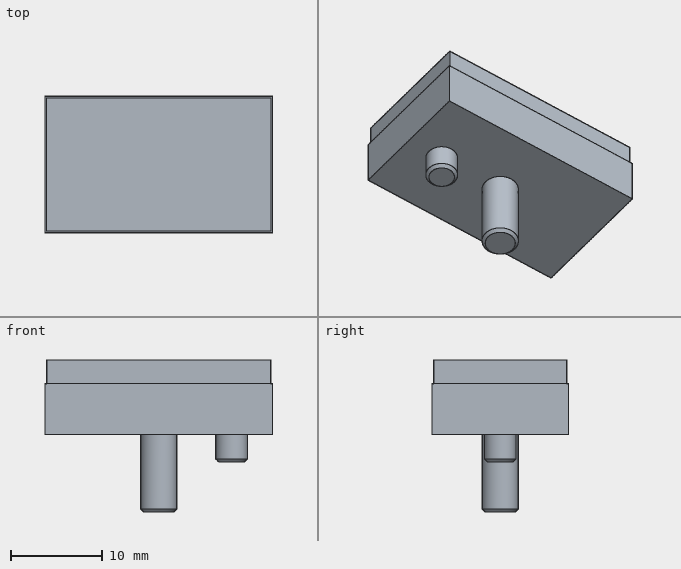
import cadquery as cq

body_length = 25.0
body_width = 15.0
body_height = 5.6

ledge = 0.2
cap_height = 2.6

pin_chamfer = 0.35
main_pin_diameter = 4.0
main_pin_length = 8.5
side_pin_diameter = 3.5
side_pin_length = 3.0
side_pin_x = 8.0


def block(length, width, height, base_z):
    """Rectangular block centred on the Z axis, standing on base_z."""
    return cq.Workplane("XY").workplane(offset=base_z).rect(length, width).extrude(height)


def pin(diameter, length, x):
    """Round pin pointing down from the underside, chamfered at its free end."""
    shaft = cq.Workplane("XY").center(x, 0).circle(diameter / 2).extrude(-length)
    return shaft.faces("<Z").chamfer(pin_chamfer)


body = block(body_length, body_width, body_height, 0)
cap = block(body_length - 2 * ledge, body_width - 2 * ledge, cap_height, body_height)
main_pin = pin(main_pin_diameter, main_pin_length, 0)
side_pin = pin(side_pin_diameter, side_pin_length, side_pin_x)

result = body.union(cap).union(main_pin).union(side_pin)